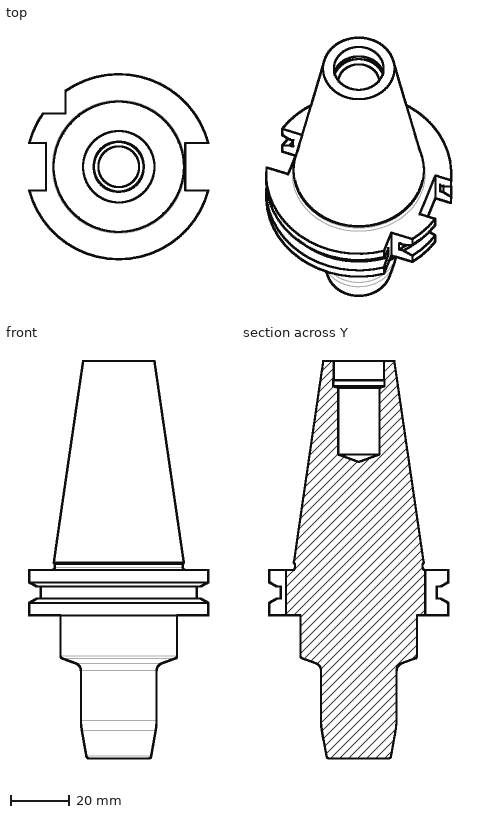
import math

import cadquery as cq

total_length = 136.25
taper_length = 68.4
gauge_level = total_length - taper_length
flange_thickness = 15.55
flange_top = gauge_level - 3.2
flange_bottom = flange_top - flange_thickness

gauge_diameter = 44.45
taper_ratio = 7 / 24
taper_low_end = 67.1
neck_diameter = 44.0
neck_top = 66.7
neck_fillet = 0.8

flange_diameter = 63.5
groove_level = (flange_bottom + flange_top) / 2
groove_floor_diameter = 55.9
groove_mouth_width = 7.0
groove_floor_width = 4.0
groove_flank_angle = 30.0

body_diameter = 40.0
body_bottom = 34.5
body_edge_radius = 1.0
shoulder_angle = 20.0
shank_diameter = 26.0
shank_root_radius = 2.6

nose_end_diameter = 22.0
nose_angle = 10.0
nose_blend_radius = 20.0
nose_edge_radius = 1.0

slot_width = 16.2
left_slot_floor = 25.0
right_slot_floor = 22.8
notch_x = 18.3
notch_y = 18.3

pilot_diameter = 17.01
pilot_depth = 6.5
relief_diameter = 17.41
relief_depth = 8.6
drill_diameter = 14.0
drill_depth = 32.0
drill_tip_angle = 140.0


def revolve_profile(points):
    """Solid of revolution about Z from (radius, height) points."""
    return cq.Workplane("XZ").polyline(points).close().revolve(360, (0, 0), (0, 1))


def taper_radius(level):
    """Radius of the steep taper at a given height."""
    return (gauge_diameter - (level - gauge_level) * taper_ratio) / 2


def circle_edge(radius, level):
    """Selector for the circular edge of the given radius and height."""
    tolerance = 0.01
    reach = radius + tolerance
    return cq.selectors.BoxSelector(
        (-reach, -reach, level - tolerance),
        (reach, reach, level + tolerance),
        boundingbox=True,
    )


def make_turned_body():
    """Nose, shank, body, grooved flange, neck and taper as one revolved solid."""
    nose_r = nose_end_diameter / 2
    shank_r = shank_diameter / 2
    body_r = body_diameter / 2
    flange_r = flange_diameter / 2
    groove_r = groove_floor_diameter / 2
    flank_height = (groove_mouth_width - groove_floor_width) / 2
    ledge_r = flange_r - flank_height / math.tan(math.radians(groove_flank_angle))
    neck_r = neck_diameter / 2
    nose_top = (shank_r - nose_r) / math.tan(math.radians(nose_angle))
    shank_top = body_bottom - (body_r - shank_r) * math.tan(math.radians(shoulder_angle))

    body = revolve_profile([
        (0, 0),
        (nose_r, 0),
        (shank_r, nose_top),
        (shank_r, shank_top),
        (body_r, body_bottom),
        (body_r, flange_bottom),
        (flange_r, flange_bottom),
        (flange_r, groove_level - groove_mouth_width / 2),
        (ledge_r, groove_level - groove_floor_width / 2),
        (groove_r, groove_level - groove_floor_width / 2),
        (groove_r, groove_level + groove_floor_width / 2),
        (ledge_r, groove_level + groove_floor_width / 2),
        (flange_r, groove_level + groove_mouth_width / 2),
        (flange_r, flange_top),
        (neck_r, flange_top),
        (neck_r, neck_top),
        (taper_radius(taper_low_end), taper_low_end),
        (taper_radius(total_length), total_length),
        (0, total_length),
    ])

    rounded_edges = [
        (nose_r, 0, nose_edge_radius),
        (shank_r, nose_top, nose_blend_radius),
        (shank_r, shank_top, shank_root_radius),
        (body_r, body_bottom, body_edge_radius),
        (neck_r, flange_top, neck_fillet),
    ]
    for radius, level, fillet_radius in rounded_edges:
        body = body.edges(circle_edge(radius, level)).fillet(fillet_radius)
    return body


def flange_cutter(x_min, x_max, y_min, y_max):
    """Box through the full flange thickness."""
    return (
        cq.Workplane("XY")
        .workplane(offset=flange_bottom)
        .moveTo((x_min + x_max) / 2, (y_min + y_max) / 2)
        .rect(x_max - x_min, y_max - y_min)
        .extrude(flange_top - flange_bottom)
    )


def make_flange_cutouts():
    """Two unequal drive slots and a square orientation notch at -X +Y."""
    half_slot = slot_width / 2
    left_slot = flange_cutter(-flange_diameter, -left_slot_floor, -half_slot, half_slot)
    right_slot = flange_cutter(right_slot_floor, flange_diameter, -half_slot, half_slot)
    notch = flange_cutter(-flange_diameter, -notch_x, notch_y, flange_diameter)
    return left_slot.union(right_slot).union(notch)


def make_bore():
    """Pilot, relief with a 45 degree start, tapered step and drilled hole with a conical floor."""
    pilot_r = pilot_diameter / 2
    relief_r = relief_diameter / 2
    drill_r = drill_diameter / 2
    cone_slope = 1 / math.tan(math.radians(drill_tip_angle / 2))
    relief_start = pilot_depth + relief_r - pilot_r
    step_depth = relief_depth + (relief_r - drill_r) * cone_slope
    tip_depth = drill_depth + drill_r * cone_slope
    return revolve_profile([
        (0, total_length),
        (pilot_r, total_length),
        (pilot_r, total_length - pilot_depth),
        (relief_r, total_length - relief_start),
        (relief_r, total_length - relief_depth),
        (drill_r, total_length - step_depth),
        (drill_r, total_length - drill_depth),
        (0, total_length - tip_depth),
    ])


result = make_turned_body().cut(make_flange_cutouts()).cut(make_bore())